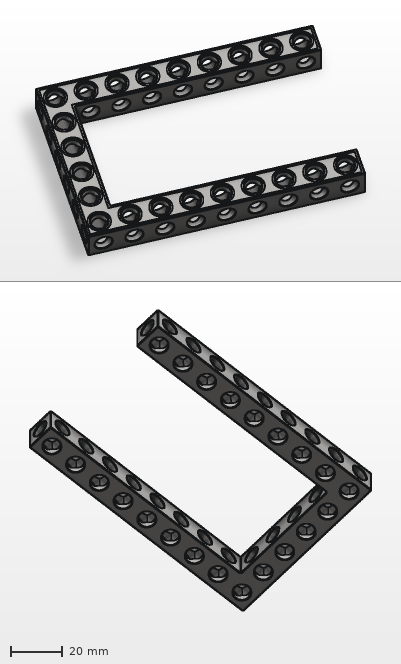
import cadquery as cq

length = 112.5
cells_x = 6
cells_y = 9
pitch = length / cells_y
width = cells_x * pitch
bar = pitch

hole_diameter = 7.0
hole_chamfer = 0.3
edge_chamfer = 0.3

rim_width = 1.1
ring_diameter = 9.2
recess_depth = 0.2

columns = [(i - (cells_x - 1) / 2) * pitch for i in range(cells_x)]
rows = [(j + 0.5) * pitch for j in range(cells_y)]
vertical_holes = [(x, rows[0]) for x in columns] + [
    (x, y) for x in (columns[0], columns[-1]) for y in rows[1:]
]


def u_prism(inset, bottom, height):
    """U-shaped prism whose walls lie `inset` inside the outline of the frame."""
    outer_x = width / 2 - inset
    inner_x = width / 2 - bar + inset
    end_y = length - inset
    notch_y = bar - inset
    return (
        cq.Workplane("XY")
        .workplane(offset=bottom)
        .moveTo(-outer_x, inset)
        .lineTo(outer_x, inset)
        .lineTo(outer_x, end_y)
        .lineTo(inner_x, end_y)
        .lineTo(inner_x, notch_y)
        .lineTo(-inner_x, notch_y)
        .lineTo(-inner_x, end_y)
        .lineTo(-outer_x, end_y)
        .close()
        .extrude(height)
    )


def drill(start, direction, span):
    """Cutters for a straight hole with a chamfer at both ends."""
    radius = hole_diameter / 2
    mouth = radius + hole_chamfer
    origin = cq.Vector(*start)
    axis = cq.Vector(*direction)
    far_end = origin + axis * span
    return [
        cq.Solid.makeCylinder(radius, span, origin, axis),
        cq.Solid.makeCone(mouth, radius, hole_chamfer, origin, axis),
        cq.Solid.makeCone(mouth, radius, hole_chamfer, far_end, axis * -1),
    ]


frame = u_prism(0, 0, bar).edges().chamfer(edge_chamfer)

recess = u_prism(rim_width, bar - recess_depth, recess_depth)
rings = (
    cq.Workplane("XY")
    .workplane(offset=bar - recess_depth)
    .pushPoints(vertical_holes)
    .circle(ring_diameter / 2)
    .extrude(recess_depth)
)
frame = frame.cut(recess.cut(rings))

cutters = []
for x, y in vertical_holes:
    cutters += drill((x, y, 0), (0, 0, 1), bar)

for y in rows[1:]:
    for left in (-width / 2, width / 2 - bar):
        cutters += drill((left, y, bar / 2), (1, 0, 0), bar)
cutters += drill((-width / 2, rows[0], bar / 2), (1, 0, 0), width)

for x in columns[1:-1]:
    cutters += drill((x, 0, bar / 2), (0, 1, 0), bar)
for x in (columns[0], columns[-1]):
    cutters += drill((x, 0, bar / 2), (0, 1, 0), length)

result = cq.Workplane(obj=frame.val().cut(*cutters))